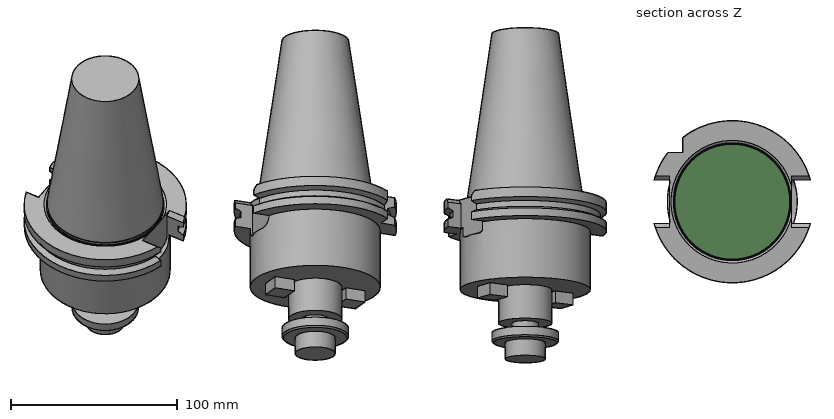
import cadquery as cq
import math

total_height = 198.6
gauge_diameter = 70.0
taper_length = 101.7
taper_ratio = 7 / 24
gauge_z = total_height - taper_length
gauge_radius = gauge_diameter / 2
taper_top_radius = gauge_radius - taper_length * taper_ratio / 2
relief_radius = 69.3 / 2
relief_bevel = 0.5
recess_radius = 36.7
recess_floor_radius = 35.4
recess_depth = 0.8

flange_radius = 48.7
flange_top_z = 95.5
flange_bottom_z = 78.0
groove_root_radius = 45.0
groove_center_z = 86.2
groove_root_width = 3.5
groove_flank_angle = 25.0

body_radius = 78.0 / 2
body_bottom_z = 42.3
pilot_radius = 32.0 / 2
pilot_bottom_z = 21.8
neck_radius = 16.0 / 2
screw_flange_radius = 40.0 / 2
screw_flange_top_z = 16.0
screw_flange_bottom_z = 10.0
screw_flange_chamfer = 1.0
screw_end_radius = 24.0 / 2

slot_width = 25.8
slot_bottom_z = 71.7
slot_corner_radius = 6.0
slot_mouth_chamfer = 2.5
left_slot_floor = 37.5
right_slot_floor = 35.5

notch_x = -29.8
notch_y = 29.5

key_inner_x = 17.0
key_outer_x = 29.8
key_width = 13.7
key_height = 7.1


def make_turned_body():
    """Revolve the complete profile from the arbor end to the small taper end."""
    half_root = groove_root_width / 2
    flank_rise = (flange_radius - groove_root_radius) * math.tan(math.radians(groove_flank_angle))
    half_mouth = half_root + flank_rise
    return (
        cq.Workplane("XZ")
        .moveTo(0, 0)
        .lineTo(screw_end_radius, 0)
        .lineTo(screw_end_radius, screw_flange_bottom_z)
        .lineTo(screw_flange_radius - screw_flange_chamfer, screw_flange_bottom_z)
        .lineTo(screw_flange_radius, screw_flange_bottom_z + screw_flange_chamfer)
        .lineTo(screw_flange_radius, screw_flange_top_z)
        .lineTo(neck_radius, screw_flange_top_z)
        .lineTo(neck_radius, pilot_bottom_z)
        .lineTo(pilot_radius, pilot_bottom_z)
        .lineTo(pilot_radius, body_bottom_z)
        .lineTo(body_radius, body_bottom_z)
        .lineTo(body_radius, flange_bottom_z)
        .lineTo(flange_radius, flange_bottom_z)
        .lineTo(flange_radius, groove_center_z - half_mouth)
        .lineTo(groove_root_radius, groove_center_z - half_root)
        .lineTo(groove_root_radius, groove_center_z + half_root)
        .lineTo(flange_radius, groove_center_z + half_mouth)
        .lineTo(flange_radius, flange_top_z)
        .lineTo(recess_radius, flange_top_z)
        .lineTo(recess_floor_radius, flange_top_z - recess_depth)
        .lineTo(relief_radius, flange_top_z - recess_depth)
        .lineTo(relief_radius, gauge_z - relief_bevel)
        .lineTo(gauge_radius, gauge_z)
        .lineTo(taper_top_radius, total_height)
        .lineTo(0, total_height)
        .close()
        .revolve(360, (0, 0, 0), (0, 1, 0))
    )


def make_drive_slot(floor_distance, side):
    """Slot cutter on the side given by the sign of X, with a bevelled mouth at the flange top."""
    half_width = slot_width / 2
    half_mouth = half_width + slot_mouth_chamfer
    corner_middle = slot_corner_radius * (1 - math.sqrt(0.5))
    outline = (
        cq.Workplane("YZ", origin=(side * floor_distance, 0, 0))
        .moveTo(-half_mouth, flange_top_z)
        .lineTo(-half_width, flange_top_z - slot_mouth_chamfer)
        .lineTo(-half_width, slot_bottom_z + slot_corner_radius)
        .threePointArc(
            (-half_width + corner_middle, slot_bottom_z + corner_middle),
            (-half_width + slot_corner_radius, slot_bottom_z),
        )
        .lineTo(half_width - slot_corner_radius, slot_bottom_z)
        .threePointArc(
            (half_width - corner_middle, slot_bottom_z + corner_middle),
            (half_width, slot_bottom_z + slot_corner_radius),
        )
        .lineTo(half_width, flange_top_z - slot_mouth_chamfer)
        .lineTo(half_mouth, flange_top_z)
        .close()
    )
    return outline.extrude(side * flange_radius)


def make_orientation_notch():
    """Square corner cutter through the full flange thickness."""
    return (
        cq.Workplane("XY", origin=(notch_x, notch_y, flange_bottom_z))
        .rect(-flange_radius, flange_radius, centered=False)
        .extrude(flange_top_z - flange_bottom_z)
    )


def make_drive_key(side):
    """Rectangular key hanging from the lower face of the body."""
    return (
        cq.Workplane("XY", origin=(side * (key_inner_x + key_outer_x) / 2, 0, body_bottom_z))
        .rect(key_outer_x - key_inner_x, key_width)
        .extrude(-key_height)
    )



result = make_turned_body()
for side, floor_distance in ((-1, left_slot_floor), (1, right_slot_floor)):
    result = result.cut(make_drive_slot(floor_distance, side))
    result = result.union(make_drive_key(side))
result = result.cut(make_orientation_notch())